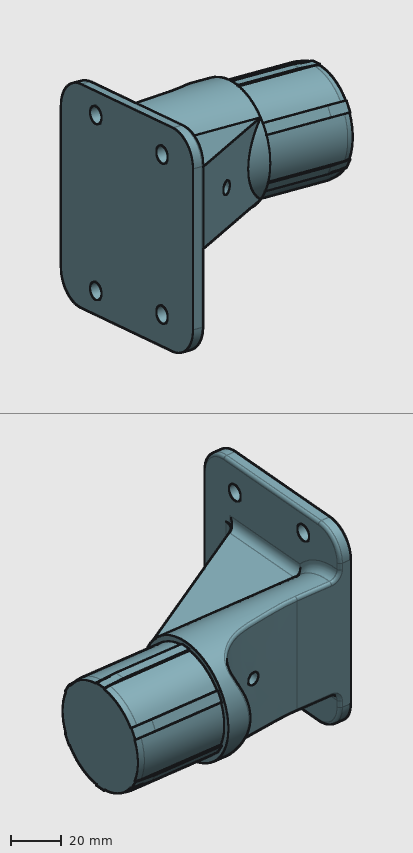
import cadquery as cq
import math

total_length = 124.2
right_end = 110.6

plate_left = 24.3
plate_width = right_end - plate_left
plate_height = 94.5
plate_thickness = 5.8
plate_corner_radius = 13.3
plate_hole_diameter = 7.5
plate_holes = [(47.2, 37.1), (90.4, 33.8)]

body_radius = 27.0
axis_x = body_radius
shoulder_y = 81.1

spigot_radius = 24.3
spigot_tip_radius = 23.8
spigot_cone_length = 2.9

rib_count = 6
rib_width = 5.0
rib_radius = 24.8
rib_tip_radius = 24.2
rib_taper_start = 114.4

gusset_top_x = 47.5
gusset_foot_x = 91.3
gusset_toe_radius = 8.0
gusset_half_width = math.sqrt(body_radius**2 - (gusset_top_x - axis_x) ** 2)

saddle_flat_end = (plate_left, 27.1)
saddle_waist = (22.2, 48.4)
saddle_shoulder = (17.1, 66.4)
saddle_crest = (9.7, 72.9)
saddle_rim = (0, 67.9)
saddle_end_direction = (-1, -0.6)

cross_hole_diameter = 5.7
cross_hole_y = 51.2

root_fillet = 4.0
edge_fillet = 1.5
overcut = 6.2
tolerance = 0.1


def cylinder_along_y(x, z, start, end, radius):
    return cq.Workplane("XZ", origin=(x, start, z)).circle(radius).extrude(start - end)


def make_plate():
    return (
        cq.Workplane("XZ", origin=(plate_left + plate_width / 2, 0, 0))
        .rect(plate_width, plate_height)
        .extrude(-plate_thickness)
        .edges("|Y")
        .fillet(plate_corner_radius)
    )


def make_gusset():
    return (
        cq.Workplane("XY")
        .moveTo(axis_x, 0)
        .lineTo(gusset_foot_x, 0)
        .lineTo(gusset_foot_x, plate_thickness)
        .lineTo(gusset_top_x, shoulder_y)
        .lineTo(axis_x, shoulder_y)
        .close()
        .extrude(gusset_half_width, both=True)
    )


def make_gusset_toe():
    """Concave blend between the sloping back of the gusset and the plate."""
    slope = math.atan2(shoulder_y - plate_thickness, gusset_foot_x - gusset_top_x)
    reach = gusset_toe_radius * math.tan(slope / 2)
    upper_end = (
        gusset_foot_x - reach * math.cos(slope),
        plate_thickness + reach * math.sin(slope),
    )
    return (
        cq.Workplane("XY")
        .moveTo(gusset_foot_x - reach, 0)
        .lineTo(gusset_foot_x + reach, 0)
        .lineTo(gusset_foot_x + reach, plate_thickness)
        .radiusArc(upper_end, gusset_toe_radius)
        .close()
        .extrude(gusset_half_width, both=True)
    )


def make_saddle_cutter():
    """Hollow that starts flush with the plate edge and curls up under the shoulder."""
    half_depth = body_radius + overcut
    return (
        cq.Workplane("XY", origin=(0, 0, -half_depth))
        .moveTo(plate_left, -overcut)
        .lineTo(*saddle_flat_end)
        .spline(
            [saddle_waist, saddle_shoulder, saddle_crest, saddle_rim],
            tangents=[(0, 1), saddle_end_direction],
            includeCurrent=True,
        )
        .line(overcut * saddle_end_direction[0], overcut * saddle_end_direction[1])
        .lineTo(-overcut, -overcut)
        .close()
        .extrude(2 * half_depth)
    )


def make_bracket():
    """Plate, body and gusset with the saddle cut and the blended edges."""
    column = cylinder_along_y(axis_x, 0, 0, shoulder_y, body_radius)
    column = column.union(make_gusset()).cut(make_saddle_cutter())
    bracket = make_plate().union(column)

    root_edges = cq.selectors.BoxSelector(
        (plate_left - tolerance, plate_thickness - tolerance, -body_radius - tolerance),
        (gusset_foot_x + tolerance, plate_thickness + tolerance, body_radius + tolerance),
    )
    bracket = bracket.edges(root_edges).fillet(root_fillet)

    rim_z = math.sqrt(body_radius**2 - (plate_left - axis_x) ** 2)
    rim_edge = cq.selectors.NearestToPointSelector((plate_left, saddle_flat_end[1] / 2, rim_z))
    bracket = bracket.edges(rim_edge).fillet(edge_fillet)
    return bracket.union(make_gusset_toe())


def make_rib():
    return (
        cq.Workplane("XY")
        .moveTo(0, shoulder_y)
        .lineTo(rib_radius, shoulder_y)
        .lineTo(rib_radius, rib_taper_start)
        .lineTo(rib_tip_radius, total_length)
        .lineTo(0, total_length)
        .close()
        .extrude(rib_width / 2, both=True)
    )


def make_spigot():
    spigot = (
        cq.Workplane("XY")
        .moveTo(0, shoulder_y)
        .lineTo(spigot_radius, shoulder_y)
        .lineTo(spigot_radius, total_length - spigot_cone_length)
        .lineTo(spigot_tip_radius, total_length)
        .lineTo(0, total_length)
        .close()
        .revolve(360, (0, 0, 0), (0, 1, 0))
    )
    pitch = 360 / rib_count
    for i in range(rib_count):
        angle = (i + 0.5) * pitch
        spigot = spigot.union(make_rib().rotate((0, 0, 0), (0, 1, 0), angle))
    return spigot.translate((axis_x, 0, 0))


def drill_holes(part):
    for x, offset in plate_holes:
        for z in (-offset, offset):
            part = part.cut(cylinder_along_y(x, z, 0, plate_thickness, plate_hole_diameter / 2))
    cross_hole = (
        cq.Workplane("YZ", origin=(0, cross_hole_y, 0))
        .circle(cross_hole_diameter / 2)
        .extrude(right_end)
    )
    return part.cut(cross_hole)


result = drill_holes(make_bracket().union(make_spigot()))